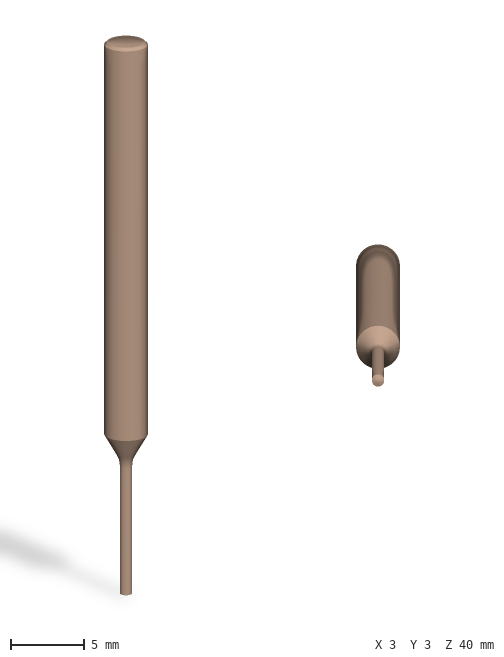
import cadquery as cq
import math

overall_length = 40.0
shank_diameter = 3.0
drill_diameter = 0.85
shank_radius = shank_diameter / 2
drill_radius = drill_diameter / 2

neck_bottom = 7.65
neck_top = 9.4

point_angle = 140.0
point_height = drill_radius / math.tan(math.radians(point_angle / 2))

bevel_size = 0.2

taper_half_angle = math.radians(30.0)
blend_radius = 1.5
taper_step = shank_radius - drill_radius
taper_height = taper_step / math.tan(taper_half_angle) + blend_radius * math.tan(taper_half_angle / 2)
taper_top = neck_top + taper_height


def blend_point(angle):
    """Point on the blend arc where the wall leans by the given angle from the axis."""
    radius = drill_radius + blend_radius * (1 - math.cos(angle))
    height = neck_top + blend_radius * math.sin(angle)
    return radius, height


def make_shank():
    """Clamping shank with a beveled end, a conical taper and a blend down to the neck."""
    profile = (
        cq.Workplane("XZ")
        .moveTo(0, neck_top)
        .lineTo(drill_radius, neck_top)
        .threePointArc(blend_point(taper_half_angle / 2), blend_point(taper_half_angle))
        .lineTo(shank_radius, taper_top)
        .lineTo(shank_radius, overall_length - bevel_size)
        .lineTo(shank_radius - bevel_size, overall_length)
        .lineTo(0, overall_length)
        .close()
    )
    return profile.revolve(360, (0, 0), (0, 1))


def make_neck():
    """Plain cylinder between the shank and the cutting section."""
    neck_length = neck_top - neck_bottom
    return cq.Workplane("XY").workplane(offset=neck_bottom).circle(drill_radius).extrude(neck_length)


def make_cutter():
    """Cutting section, a cylinder that ends in the conical drill point."""
    profile = (
        cq.Workplane("XZ")
        .moveTo(0, 0)
        .lineTo(drill_radius, point_height)
        .lineTo(drill_radius, neck_bottom)
        .lineTo(0, neck_bottom)
        .close()
    )
    return profile.revolve(360, (0, 0), (0, 1))


shank = make_shank()
neck = make_neck()
cutter = make_cutter()

result = cq.Compound.makeCompound([shank.val(), neck.val(), cutter.val()])